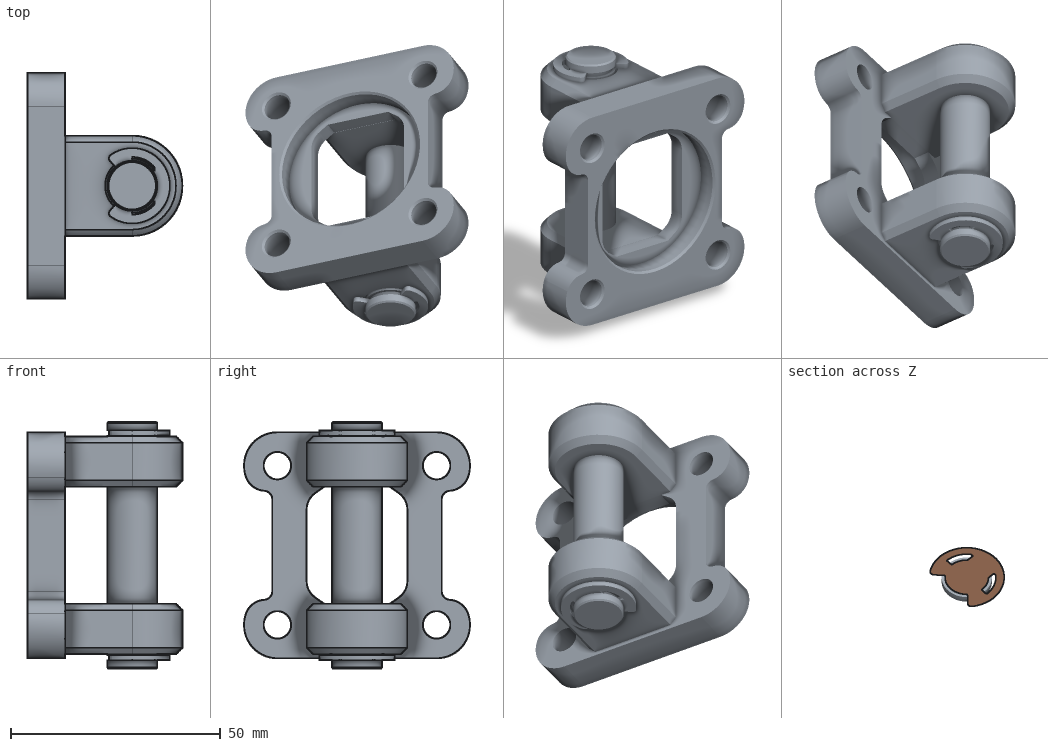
import cadquery as cq
import math

plate_thickness = 9.0
plate_size = 54.0
corner_radius = 8.0
bolt_offset = plate_size / 2 - corner_radius
bolt_diameter = 6.5
bolt_chamfer = 0.5

waist_half_width = 20.25
ear_radius = 5.0
hollow_radius = 2.0
ear_blend_angle = 20.0

recess_diameter = 35.5
recess_depth = 5.0
recess_chamfer = 0.5
window_half_width = 12.0
window_half_height = 14.0
window_slope_run = 4.2
window_slope_rise = 3.0
window_fillet = 4.8

arm_gap = 27.9
arm_thickness = 12.05
arm_radius = 12.0
arm_chamfer = 1.55
arm_inner_z = arm_gap / 2
arm_outer_z = arm_inner_z + arm_thickness

pin_x = 25.0
pin_diameter = 12.0
pin_length = 59.0
pin_chamfer = 0.35
bore_chamfer = 0.5
groove_diameter = 10.5
groove_clearance = 0.2
groove_z = arm_outer_z + groove_clearance

clip_thickness = 1.2
clip_radius = 9.0
clip_mouth_half_angle = 48.0
clip_tip_fillet = 1.0
clip_relief_radius = 6.9
clip_relief_length = 5.4
clip_relief_inner_y = 3.7


def polar(radius, angle):
    """Point at a radius and an angle in degrees about the origin."""
    return radius * math.cos(math.radians(angle)), radius * math.sin(math.radians(angle))


def shifted(centre, radius, angle):
    """Point at a radius and an angle in degrees about a given centre."""
    dx, dy = polar(radius, angle)
    return centre[0] + dx, centre[1] + dy


def chamfered_hole(diameter, depth, chamfer):
    """Cutter along +X from X = 0, widened by a chamfer at X = 0."""
    radius = diameter / 2
    profile = [(0, 0), (0, radius + chamfer), (chamfer, radius), (depth, radius), (depth, 0)]
    return cq.Workplane("XY").polyline(profile).close().revolve(360, (0, 0, 0), (1, 0, 0))


def flange_quarter():
    """Quarter of the flange with +Y and +Z; the other quarters are its mirror images."""
    corner_centre = (bolt_offset, bolt_offset)
    ear_centre = shifted(corner_centre, corner_radius - ear_radius, -ear_blend_angle)
    hollow_y = waist_half_width + hollow_radius
    centre_distance = ear_radius + hollow_radius
    hollow_z = ear_centre[1] - math.sqrt(centre_distance**2 - (hollow_y - ear_centre[0]) ** 2)
    hollow_centre = (hollow_y, hollow_z)
    touch_angle = math.degrees(math.atan2(hollow_z - ear_centre[1], hollow_y - ear_centre[0]))
    hollow_start = touch_angle + 180

    return (
        cq.Workplane("YZ")
        .lineTo(0, plate_size / 2)
        .lineTo(bolt_offset, plate_size / 2)
        .threePointArc(
            shifted(corner_centre, corner_radius, (90 - ear_blend_angle) / 2),
            shifted(corner_centre, corner_radius, -ear_blend_angle),
        )
        .threePointArc(
            shifted(ear_centre, ear_radius, (touch_angle - ear_blend_angle) / 2),
            shifted(ear_centre, ear_radius, touch_angle),
        )
        .threePointArc(
            shifted(hollow_centre, hollow_radius, (hollow_start + 180) / 2),
            (waist_half_width, hollow_z),
        )
        .lineTo(waist_half_width, 0)
        .close()
        .extrude(plate_thickness)
    )


def flange():
    quarter = flange_quarter()
    half = quarter.union(quarter.mirror("XY"))
    return half.union(half.mirror("XZ")).clean()


def window():
    """Opening with sloped, rounded corners, cut through the flange only."""
    flat_half = window_half_width - window_slope_run
    side_half = window_half_height - window_slope_rise
    corners = [
        (flat_half, window_half_height),
        (window_half_width, side_half),
        (window_half_width, -side_half),
        (flat_half, -window_half_height),
    ]
    mirrored = [(-y, z) for y, z in reversed(corners)]
    opening = cq.Workplane("YZ").polyline(corners + mirrored).close().extrude(plate_thickness)
    side_edges = cq.selectors.BoxSelector(
        (-plate_thickness, -plate_size, -window_half_height + window_slope_rise / 2),
        (plate_thickness, plate_size, window_half_height - window_slope_rise / 2),
    )
    return opening.edges("|X").edges(side_edges).fillet(window_fillet)


def upper_arm():
    """Round-ended arm, chamfered along its long sides and its end on both faces."""
    arm = (
        cq.Workplane("XY", origin=(0, 0, arm_inner_z))
        .moveTo(plate_thickness, -arm_radius)
        .lineTo(pin_x, -arm_radius)
        .threePointArc((pin_x + arm_radius, 0), (pin_x, arm_radius))
        .lineTo(plate_thickness, arm_radius)
        .close()
        .extrude(arm_thickness)
    )
    arm = arm.faces("|Z").edges("not(<X)").chamfer(arm_chamfer)
    bore_mouth = chamfered_hole(pin_diameter, arm_thickness / 2, bore_chamfer)
    bore_mouth = bore_mouth.rotate((0, 0, 0), (0, 1, 0), 90).translate((pin_x, 0, arm_outer_z))
    return arm.cut(bore_mouth)


def upper_pin_half():
    """Half of the pin from its middle to its upper end, with the clip groove."""
    radius = pin_diameter / 2
    groove_radius = groove_diameter / 2
    groove_top = groove_z + clip_thickness
    end_z = pin_length / 2
    profile = [
        (0, 0),
        (radius, 0),
        (radius, groove_z),
        (groove_radius, groove_z),
        (groove_radius, groove_top),
        (radius, groove_top),
        (radius, end_z - pin_chamfer),
        (radius - pin_chamfer, end_z),
        (0, end_z),
    ]
    pin = cq.Workplane("XZ").polyline(profile).close().revolve(360, (0, 0, 0), (0, 1, 0))
    return pin.translate((pin_x, 0, 0))


def clip_relief():
    """Cutter for the gap between clip and groove on the +Y side."""
    slot = cq.Workplane("XY").box(
        clip_relief_length, clip_relief_radius, clip_thickness, centered=False
    ).translate((0, clip_relief_inner_y, 0))
    outer_disc = cq.Workplane("XY").circle(clip_relief_radius).extrude(clip_thickness)
    return slot.intersect(outer_disc)


def upper_clip():
    """Open ring seated in the groove, with its mouth towards the flange."""
    mouth_angle = 180 - clip_mouth_half_angle
    inner_radius = groove_diameter / 2
    clip = (
        cq.Workplane("XY")
        .moveTo(*polar(clip_radius, mouth_angle))
        .threePointArc((clip_radius, 0), polar(clip_radius, -mouth_angle))
        .lineTo(*polar(inner_radius, -mouth_angle))
        .threePointArc((inner_radius, 0), polar(inner_radius, mouth_angle))
        .close()
        .extrude(clip_thickness)
    )
    tip_x, tip_y = polar(clip_radius, mouth_angle)
    for y in (tip_y, -tip_y):
        tip = cq.selectors.NearestToPointSelector((tip_x, y, clip_thickness / 2))
        clip = clip.edges("|Z").edges(tip).fillet(clip_tip_fillet)
    relief = clip_relief()
    clip = clip.cut(relief).cut(relief.mirror("XZ"))
    return clip.translate((pin_x, 0, groove_z))


body = flange()
bolt_hole = chamfered_hole(bolt_diameter, plate_thickness, bolt_chamfer)
for y in (-bolt_offset, bolt_offset):
    for z in (-bolt_offset, bolt_offset):
        body = body.cut(bolt_hole.translate((0, y, z)))
body = body.cut(chamfered_hole(recess_diameter, recess_depth, recess_chamfer))
body = body.cut(window())

for upper_part in (upper_arm(), upper_pin_half(), upper_clip()):
    body = body.union(upper_part).union(upper_part.mirror("XY"))

result = body.clean()